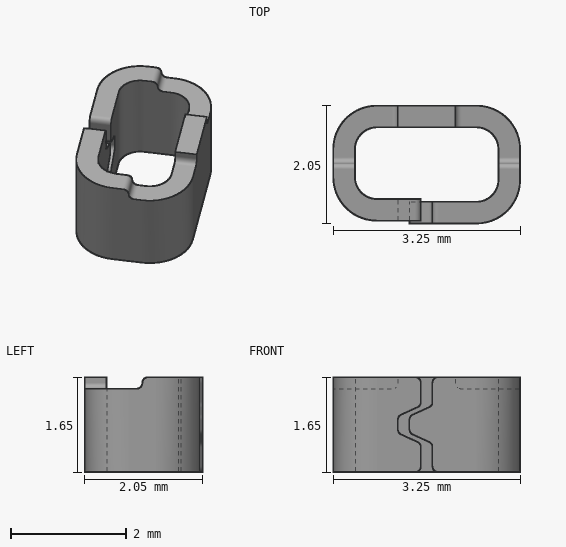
import cadquery as cq
import math

length = 3.25
loop_width = 2.002
height = 1.65
wall = 0.38
inner_radius = 0.38
front_offset = 0.05
joint_gap = 0.2
edge_radius = 0.1
tongue_depth = 0.4
tongue_root_half = 0.328
tongue_tip_half = 0.145
step_drop = 2 * edge_radius
tab_width = 1.0

outer_radius = inner_radius + wall
back = loop_width / 2
ledge = height - step_drop
mid_height = height / 2
clear = 0.325


def ring(front):
    """Full-height rounded rectangular tube whose front face is at y = -front."""
    depth = back + front
    center_y = (back - front) / 2
    base = cq.Workplane("XY").center(0, center_y)
    outer = base.rect(length, depth).extrude(height).edges("|Z").fillet(outer_radius)
    hollow = base.rect(length - 2 * wall, depth - 2 * wall).extrude(height)
    return outer.cut(hollow.edges("|Z").fillet(inner_radius))


def block(x_size, y_start, y_end):
    """Full-height block, centered on X, between two Y positions."""
    y_size = y_end - y_start
    return cq.Workplane("XY").center(0, (y_start + y_end) / 2).rect(x_size, y_size).extrude(height)


def front_arm(front, side):
    """Front half-ring on one side (-1 left, 1 right), ending in the joint outline."""
    end_x = side * joint_gap / 2
    deep_x = end_x - tongue_depth
    far_x = side * length
    outline = [
        (far_x, 0),
        (end_x, 0),
        (end_x, mid_height - tongue_root_half),
        (deep_x, mid_height - tongue_tip_half),
        (deep_x, mid_height + tongue_tip_half),
        (end_x, mid_height + tongue_root_half),
        (end_x, height),
        (far_x, height),
    ]
    keep = cq.Workplane("XZ").polyline(outline).close().extrude(front + clear)
    return ring(front).intersect(keep.edges("|Y").fillet(edge_radius))


def back_tab():
    """Full-height tab on the back wall, flaring into the ledge with round fillets."""
    half = tab_width / 2
    foot = half + edge_radius
    diagonal = edge_radius * math.sqrt(0.5)
    arc_x = foot - diagonal
    arc_z = ledge + edge_radius - diagonal
    return (
        cq.Workplane("XZ", origin=(0, back, 0))
        .moveTo(-half, height)
        .lineTo(-half, ledge + edge_radius)
        .threePointArc((-arc_x, arc_z), (-foot, ledge))
        .lineTo(foot, ledge)
        .threePointArc((arc_x, arc_z), (half, ledge + edge_radius))
        .lineTo(half, height)
        .close()
        .extrude(wall)
    )


def back_step():
    """Material removed above the back half, with an S-shaped step at y = 0."""
    diagonal = edge_radius * math.sqrt(0.5)
    s_middle = height - edge_radius
    return (
        cq.Workplane("YZ", origin=(-length, 0, 0))
        .moveTo(-edge_radius, height)
        .threePointArc((-edge_radius + diagonal, s_middle + diagonal), (0, s_middle))
        .threePointArc((edge_radius - diagonal, s_middle - diagonal), (edge_radius, ledge))
        .lineTo(back + clear, ledge)
        .lineTo(back + clear, height)
        .close()
        .extrude(2 * length)
    )


back_half = ring(back).intersect(block(length + clear, 0, back + clear))
left_arm = front_arm(back, -1)
right_arm = front_arm(back + front_offset, 1)

loop = back_half.union(left_arm).union(right_arm).clean()
result = loop.cut(back_step().cut(back_tab()))